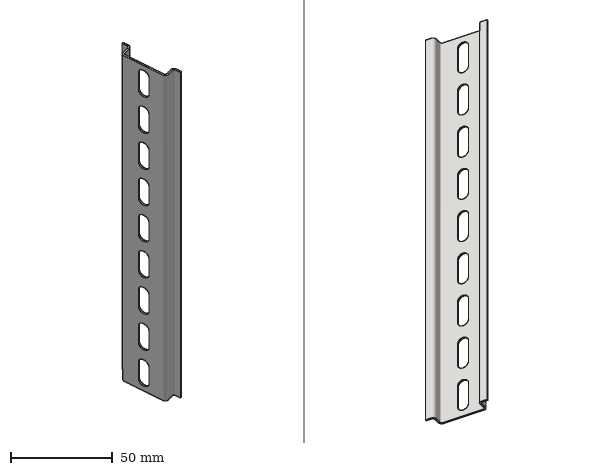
import cadquery as cq

rail_length = 225.0
rail_width = 35.0
rail_depth = 7.5
channel_width = 27.0
sheet = 1.0
inner_bend = 1.0
outer_bend = inner_bend + sheet

slot_count = 9
slot_pitch = rail_length / slot_count
slot_length = 18.0
slot_width = 6.3


def block(width, y_low, y_high):
    """Full-length block centred on X and Z, between two Y positions."""
    return cq.Workplane("XY").box(width, y_high - y_low, rail_length).translate(
        (0, (y_low + y_high) / 2, 0)
    )


def rail_profile():
    """Sheet section: web at -Y, two side walls, and outward flanges at +Y."""
    web_y = -rail_depth / 2
    flange_y = rail_depth / 2
    wall_outer = channel_width / 2
    wall_inner = wall_outer - sheet

    body = block(channel_width, web_y, flange_y - sheet)
    body = body.edges("|Z and <Y").fillet(outer_bend)
    plate = block(rail_width, flange_y - sheet, flange_y)
    outside = body.union(plate)
    outside = outside.edges(
        cq.selectors.BoxSelector(
            (-wall_outer - sheet / 2, flange_y - 1.5 * sheet, -rail_length),
            (wall_outer + sheet / 2, flange_y - sheet / 2, rail_length),
        )
    ).edges("|Z").fillet(inner_bend)

    hollow = block(2 * wall_inner, web_y + sheet, flange_y)
    hollow = hollow.edges("|Z and <Y").fillet(inner_bend)
    section = outside.cut(hollow)
    return section.edges(
        cq.selectors.BoxSelector(
            (-wall_inner - sheet / 2, flange_y - sheet / 2, -rail_length),
            (wall_inner + sheet / 2, flange_y + sheet / 2, rail_length),
        )
    ).edges("|Z").fillet(outer_bend)


def slots():
    """Row of lengthwise slots, evenly spaced along the web."""
    return (
        cq.Workplane("XZ")
        .rarray(2.2, slot_pitch, 1, slot_count)
        .slot2D(slot_length, slot_width, 90)
        .extrude(rail_depth, both=True)
    )


result = rail_profile().cut(slots())